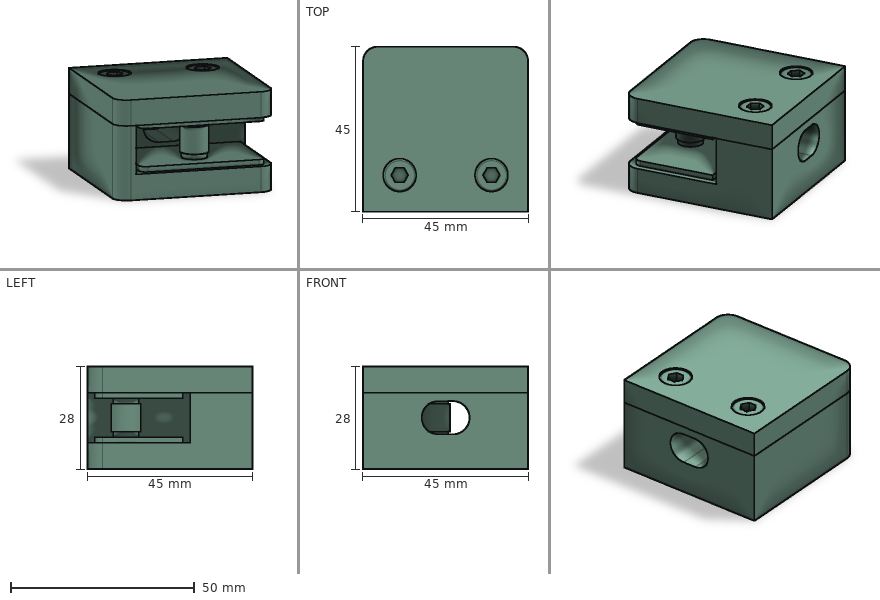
import cadquery as cq
import math

WIDTH = 45.0
DEPTH = 45.0
HEIGHT = 28.0
JAW_THICKNESS = 7.2
CORNER_RADIUS = 4.0
CUT_MARGIN = 1.0

SIDE_WALL_THICKNESS = 5.5
JAW_GAP = HEIGHT - 2 * JAW_THICKNESS
JAW_LENGTH = 28.0
GAP_BOTTOM = JAW_THICKNESS
GAP_TOP = HEIGHT - JAW_THICKNESS
GAP_FRONT = DEPTH - JAW_LENGTH
GAP_LEFT = -WIDTH / 2
GAP_RIGHT = WIDTH / 2 - SIDE_WALL_THICKNESS
GAP_WIDTH = GAP_RIGHT - GAP_LEFT
GAP_CENTER_X = (GAP_LEFT + GAP_RIGHT) / 2

PASSAGE_WIDTH = 13.0
PASSAGE_HEIGHT = 9.0

PAD_INSET = 2.0
PAD_THICKNESS = 1.5
PAD_WIDTH = GAP_WIDTH - 2 * PAD_INSET
PAD_LENGTH = JAW_LENGTH - 2 * PAD_INSET
PAD_CORNER_RADIUS = CORNER_RADIUS - PAD_INSET

PIN_X = GAP_CENTER_X
PIN_FRONT_WALL_DISTANCE = 17.5
PIN_Y = GAP_FRONT + PIN_FRONT_WALL_DISTANCE
PIN_BODY_DIAMETER = 8.0
PIN_END_DIAMETER = 7.0
PIN_END_LENGTH = 1.5
PIN_BOTTOM = GAP_BOTTOM + PAD_THICKNESS
PIN_TOP = GAP_TOP - PAD_THICKNESS

SCREW_SPACING = 25.0
SCREW_Y = 10.0
SCREW_POSITIONS = [(-SCREW_SPACING / 2, SCREW_Y), (SCREW_SPACING / 2, SCREW_Y)]
HEAD_DIAMETER = 9.0
HEAD_HEIGHT = 5.0
HEAD_RECESS = 0.2
HEAD_TOP = HEIGHT - HEAD_RECESS
HEAD_BOTTOM = HEAD_TOP - HEAD_HEIGHT
HEAD_EDGE_RADIUS = 0.5
SHANK_DIAMETER = 5.0
SHANK_LENGTH = 15.0
SHANK_BOTTOM = HEAD_BOTTOM - SHANK_LENGTH
SOCKET_ACROSS_FLATS = 4.0
SOCKET_ACROSS_CORNERS = SOCKET_ACROSS_FLATS / math.cos(math.pi / 6)
SOCKET_DEPTH = 2.5


def plate_with_round_back(width, front, back, bottom, thickness, corner_radius):
    """Flat plate centred on X whose two back corners are rounded."""
    return (
        cq.Workplane("XY")
        .box(width, back - front, thickness, centered=(True, False, False))
        .edges("|Z and >Y")
        .fillet(corner_radius)
        .translate((0, front, bottom))
    )


def cylinder(x, y, bottom, top, diameter):
    """Upright cylinder between two heights."""
    return cq.Workplane("XY", origin=(x, y, bottom)).circle(diameter / 2).extrude(top - bottom)


def cut_screw_holes(body):
    """Cut the counterbores and blind shank holes that take the screws."""
    for x, y in SCREW_POSITIONS:
        counterbore = cylinder(x, y, HEAD_BOTTOM, HEIGHT, HEAD_DIAMETER)
        shank_hole = cylinder(x, y, SHANK_BOTTOM, HEAD_BOTTOM, SHANK_DIAMETER)
        body = body.cut(counterbore).cut(shank_hole)
    return body


def make_base():
    """Lower jaw, front wall and side wall, with the oblong passage and blind screw holes."""
    body = plate_with_round_back(WIDTH, 0, DEPTH, 0, GAP_TOP, CORNER_RADIUS)
    jaw_gap = (
        cq.Workplane("XY")
        .box(GAP_WIDTH + CUT_MARGIN, JAW_LENGTH + CUT_MARGIN, JAW_GAP, centered=False)
        .translate((GAP_LEFT - CUT_MARGIN, GAP_FRONT, GAP_BOTTOM))
    )
    passage = (
        cq.Workplane("XZ")
        .center(0, HEIGHT / 2)
        .slot2D(PASSAGE_WIDTH, PASSAGE_HEIGHT)
        .extrude(-GAP_FRONT)
    )
    return cut_screw_holes(body.cut(jaw_gap).cut(passage))


def make_cover():
    """Upper jaw, a plate over the whole base with counterbored screw holes."""
    plate = plate_with_round_back(WIDTH, 0, DEPTH, GAP_TOP, JAW_THICKNESS, CORNER_RADIUS)
    return cut_screw_holes(plate)


def make_pad(bottom):
    """Pad lying on one jaw, set in evenly from the edges and walls around it."""
    front = GAP_FRONT + PAD_INSET
    pad = plate_with_round_back(
        PAD_WIDTH, front, front + PAD_LENGTH, bottom, PAD_THICKNESS, PAD_CORNER_RADIUS
    )
    return pad.translate((GAP_CENTER_X, 0, 0))


def make_pin():
    """Upright pin with a short reduced end touching each pad."""
    core = cylinder(PIN_X, PIN_Y, PIN_BOTTOM, PIN_TOP, PIN_END_DIAMETER)
    middle = cylinder(
        PIN_X, PIN_Y, PIN_BOTTOM + PIN_END_LENGTH, PIN_TOP - PIN_END_LENGTH, PIN_BODY_DIAMETER
    )
    return core.union(middle)


def make_screw(x, y):
    """Socket-head screw with a rounded head edge and a hexagonal socket."""
    head = cylinder(x, y, HEAD_BOTTOM, HEAD_TOP, HEAD_DIAMETER).edges(">Z").fillet(HEAD_EDGE_RADIUS)
    shank = cylinder(x, y, SHANK_BOTTOM, HEAD_BOTTOM, SHANK_DIAMETER)
    socket = (
        cq.Workplane("XY", origin=(x, y, HEAD_TOP))
        .polygon(6, SOCKET_ACROSS_CORNERS)
        .extrude(-SOCKET_DEPTH)
    )
    return head.union(shank).cut(socket)


base = make_base()
cover = make_cover()
pads = [make_pad(bottom) for bottom in (GAP_BOTTOM, GAP_TOP - PAD_THICKNESS)]
pin = make_pin()
screws = [make_screw(x, y) for x, y in SCREW_POSITIONS]

result = cq.Compound.makeCompound(
    [base.val(), cover.val(), pin.val()]
    + [pad.val() for pad in pads]
    + [screw.val() for screw in screws]
)